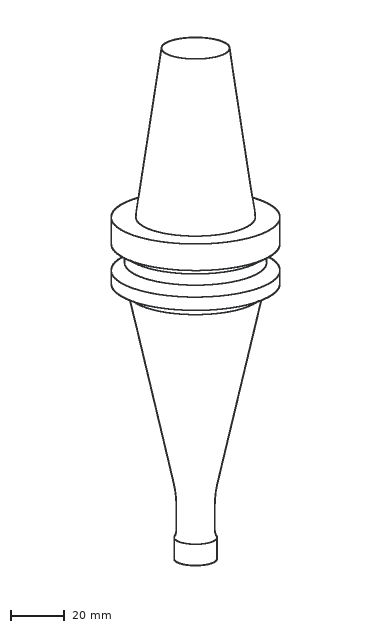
import cadquery as cq

total_height = 200.5

taper_top_diameter = 25.5
gauge_diameter = 44.5
gauge_z = 135.0
gauge_land_height = 1.0

flange_diameter = 63.0
flange_top_z = gauge_z - gauge_land_height
upper_rim_height = 10.5
groove_diameter = 53.0
groove_side_height = 3.0
groove_floor_height = 4.5
lower_rim_height = 5.2

collar_height = 3.8
collar_bottom_diameter = 50.0
collar_top_diameter = collar_bottom_diameter + 2 * collar_height

body_bottom_diameter = 16.2
body_bottom_z = 29.5
neck_diameter = 14.5
neck_top_z = 21.0
neck_bottom_z = 11.5

head_diameter = 16.0
head_height = 8.5

upper_rim_bottom_z = flange_top_z - upper_rim_height
groove_floor_top_z = upper_rim_bottom_z - groove_side_height
groove_floor_bottom_z = groove_floor_top_z - groove_floor_height
lower_rim_top_z = groove_floor_bottom_z - groove_side_height
flange_bottom_z = lower_rim_top_z - lower_rim_height
collar_bottom_z = flange_bottom_z - collar_height


def at(diameter, z):
    """Point of the half profile at a given diameter and height."""
    return (diameter / 2, z)


def add_head_and_neck(profile):
    """Head, flare, neck and the blend up to the tapered body."""
    profile = profile.lineTo(*at(head_diameter, 0))
    profile = profile.lineTo(*at(head_diameter, head_height))
    neck_radius = neck_diameter / 2
    flare_width = head_diameter / 2 - neck_radius
    flare_height = neck_bottom_z - head_height
    flare_radius = (flare_width**2 + flare_height**2) / (2 * flare_width)
    profile = profile.radiusArc(at(neck_diameter, neck_bottom_z), flare_radius)
    profile = profile.lineTo(*at(neck_diameter, neck_top_z))
    return profile.tangentArcPoint(at(body_bottom_diameter, body_bottom_z), relative=False)


def add_body_and_flange(profile):
    """Tapered body, collar and the grooved flange."""
    return (
        profile.lineTo(*at(collar_bottom_diameter, collar_bottom_z))
        .lineTo(*at(collar_top_diameter, flange_bottom_z))
        .lineTo(*at(flange_diameter, flange_bottom_z))
        .lineTo(*at(flange_diameter, lower_rim_top_z))
        .lineTo(*at(groove_diameter, groove_floor_bottom_z))
        .lineTo(*at(groove_diameter, groove_floor_top_z))
        .lineTo(*at(flange_diameter, upper_rim_bottom_z))
        .lineTo(*at(flange_diameter, flange_top_z))
    )


def add_taper(profile):
    """Short cylindrical land and the spindle taper above it."""
    return (
        profile.lineTo(*at(gauge_diameter, flange_top_z))
        .lineTo(*at(gauge_diameter, gauge_z))
        .lineTo(*at(taper_top_diameter, total_height))
        .lineTo(0, total_height)
    )


half_profile = cq.Workplane("XZ").moveTo(0, 0)
half_profile = add_head_and_neck(half_profile)
half_profile = add_body_and_flange(half_profile)
half_profile = add_taper(half_profile)

result = half_profile.close().revolve(360, (0, 0, 0), (0, 1, 0))